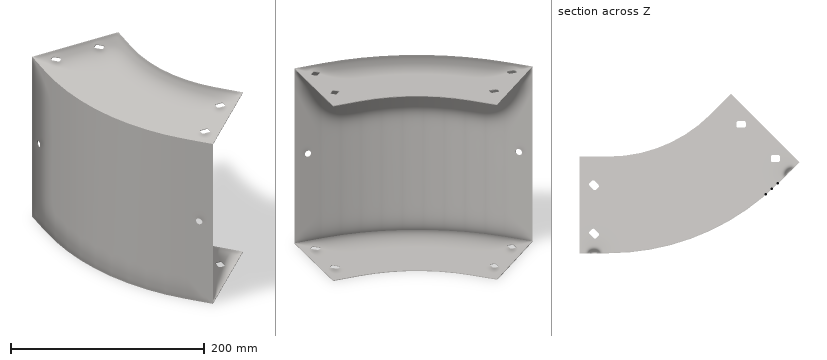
import cadquery as cq
import math

length = 227.6
height = 200.0
flange_width = height / 2
sheet = 0.8
bend_angle = 45.0
straight = 30.0

hole_diameter = 7.0
slot_length = 9.5
slot_corner = 1.8
slot_angle = 45.0
slot_offsets = (20.3, 70.3)
end_inset = 15.0

angle = math.radians(bend_angle)
outer_radius = (length - straight - straight * math.cos(angle)) / math.sin(angle)


def path_point(turn, along, offset):
    """Point after a turn in radians, shifted along the tangent and inward from the edge."""
    radius = outer_radius - offset
    x = straight + radius * math.sin(turn) + along * math.cos(turn)
    y = outer_radius - radius * math.cos(turn) + along * math.sin(turn)
    return x, y


def curved_band(width, depth):
    """Solid band following the outer edge, with the given width and Z depth."""
    return (
        cq.Workplane("XY")
        .moveTo(0, 0)
        .lineTo(*path_point(0, 0, 0))
        .threePointArc(path_point(angle / 2, 0, 0), path_point(angle, 0, 0))
        .lineTo(*path_point(angle, straight, 0))
        .lineTo(*path_point(angle, straight, width))
        .lineTo(*path_point(angle, 0, width))
        .threePointArc(path_point(angle / 2, 0, width), path_point(0, 0, width))
        .lineTo(0, width)
        .close()
        .extrude(depth)
    )


def end_points(offset):
    """Matching points at the start and far ends, each with its direction in degrees."""
    start = (path_point(0, end_inset - straight, offset), 0)
    far = (path_point(angle, straight - end_inset, offset), bend_angle)
    return start, far


def flange_slots(base, turn):
    """Cutters for four round-cornered flange slots, starting at height base."""
    cutters = cq.Workplane("XY")
    for offset in slot_offsets:
        for (x, y), direction in end_points(offset):
            slot = (
                cq.Workplane("XY")
                .rect(slot_length, hole_diameter)
                .extrude(sheet)
                .edges("|Z")
                .fillet(slot_corner)
                .rotate((0, 0, 0), (0, 0, 1), direction + turn)
                .translate((x, y, base))
            )
            cutters = cutters.add(slot)
    return cutters.combine()


def web_holes():
    """Round cutters through the web at mid height, one near each end."""
    cutters = cq.Workplane("XY")
    for (x, y), direction in end_points(sheet):
        hole = (
            cq.Workplane("XZ")
            .circle(hole_diameter / 2)
            .extrude(2 * sheet, both=True)
            .rotate((0, 0, 0), (0, 0, 1), direction)
            .translate((x, y, height / 2))
        )
        cutters = cutters.add(hole)
    return cutters.combine()


top_base = height - sheet
web = curved_band(sheet, height)
flange = curved_band(flange_width, sheet)
channel = web.union(flange).union(flange.translate((0, 0, top_base))).clean()

result = (
    channel.cut(flange_slots(top_base, slot_angle))
    .cut(flange_slots(0, -slot_angle))
    .cut(web_holes())
)